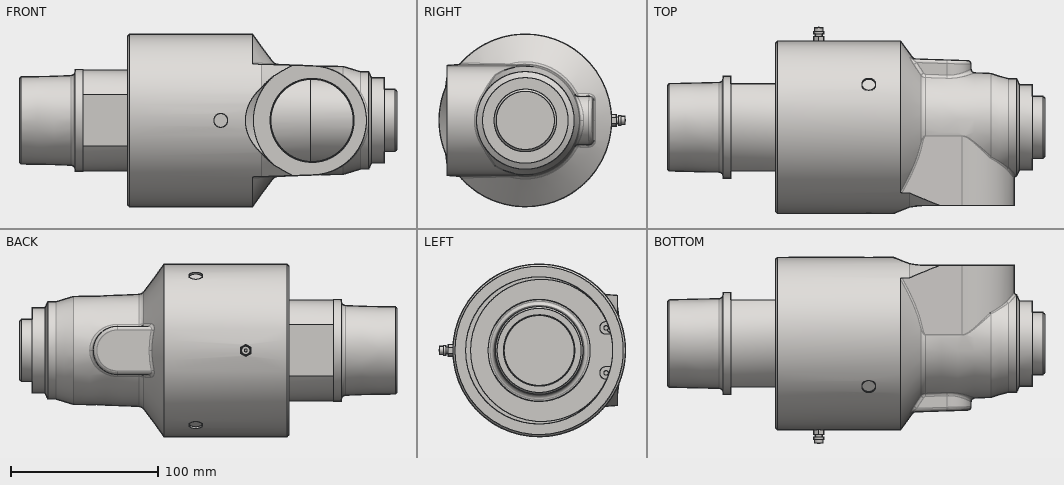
import cadquery as cq
import math


total_length = 256.82
housing_radius = 117.5 / 2
overlap = 1.0
contact_tolerance = 1e-4

taper_end_radius = 29.8
taper_root_radius = 30.6
nose_chamfer = 1.2
taper_length = 35.0
collar_start = 37.8
collar_end = 43.2
collar_radius = 69.5 / 2
shaft_radius = 34.5
flats_end = 74.7
flat_offset = 29.7
rotor_end = 198.0
rotor_bore_radius = 47.6 / 2
rotor_bore_chamfer = 0.5

housing_start = 73.4
housing_chamfer = 1.5
barrel_end = 158.5
neck_start = 173.5
neck_start_radius = 38.3
shoulder_fillet = 4.0
neck_end = 220.0
neck_end_radius = 36.8
neck_slope = (neck_start_radius - neck_end_radius) / (neck_end - neck_start)
neck_angle = math.atan(neck_slope)
tail_cone_end = 231.9
tail_radius = 33.2
tail_end = 237.5
hub_start = 239.4
hub_radius = 29.1
hub_end = 248.1
cap_radius = 21.3
cap_chamfer = 1.5

recess_radius = 100.08 / 2
recess_depth = 7.5
ring_depth = 2.5
ring_thickness = 3.0
ring_inner_radius = 48.35
ring_inner_shift = 1.7
lug_radius = 8.6 / 2
lug_y = -45.5
lug_z = 15.3
lug_hole_radius = 3.12 / 2

port_x = 199.0
port_face_y = -53.3
port_radius = 37.0
port_flare_start = 164.7
port_flare_angle = 17.0
spot_face_radius = 39.9
spot_face_angle = 45.0
port_base_fillet = 1.5
port_bore_radius = 57.2 / 2
port_bore_inner_radius = 56.0 / 2
port_taper_depth = 18.5

pad_top_y = 46.9
pad_center_x = 190.2
pad_half_width = 16.4
pad_edge_fillet = 2.5
pad_base_fillet = 2.5

seat_x = 136.9
seat_radius = 4.7
seat_depth = 1.5
seat_angles = (-90, 30, 150)

nipple_x = 102.9
nipple_hex_flats = 7.0
nipple_hex_top = 61.9
nipple_ring_start = 63.5
nipple_ring_end = 65.2
nipple_head_end = 67.8
nipple_tip = housing_radius + 9.41
nipple_neck_radius = 2.4
nipple_ring_radius = 3.5
nipple_head_radius = 2.9
nipple_tip_radius = 1.0


def x_cylinder(radius, start, end):
    """Cylinder on the main axis."""
    return cq.Workplane("YZ").workplane(offset=start).circle(radius).extrude(end - start)


def y_profile(x_center):
    """Sketch plane for a profile revolved about a Y-parallel axis at x_center."""
    return cq.Workplane("XY", origin=(x_center, 0, 0))


def revolve_about_x(profile):
    return profile.close().revolve(360, (0, 0, 0), (1, 0, 0))


def revolve_about_y(profile):
    return profile.close().revolve(360, (0, 0, 0), (0, 1, 0))


def make_rotor():
    collar_fillet = collar_start - taper_length
    nose = revolve_about_x(
        cq.Workplane("XY")
        .lineTo(0, taper_end_radius - nose_chamfer)
        .lineTo(nose_chamfer, taper_end_radius)
        .lineTo(taper_length, taper_root_radius)
        .radiusArc((collar_start, taper_root_radius + collar_fillet), -collar_fillet)
        .lineTo(collar_start, collar_radius)
        .lineTo(collar_end, collar_radius)
        .lineTo(collar_end, 0)
    )
    flats_length = flats_end - collar_end
    slab = cq.Workplane("XY").box(
        flats_length, 2 * flat_offset, 2 * shaft_radius, centered=(False, True, True)
    )
    shaft = x_cylinder(shaft_radius, collar_end, flats_end).intersect(slab.translate((collar_end, 0, 0)))
    return nose.union(shaft).union(x_cylinder(collar_radius, flats_end, rotor_end))


def make_housing():
    profile = (
        cq.Workplane("XY")
        .moveTo(housing_start, 0)
        .lineTo(housing_start, housing_radius - housing_chamfer)
        .lineTo(housing_start + housing_chamfer, housing_radius)
        .lineTo(barrel_end, housing_radius)
        .lineTo(neck_start, neck_start_radius)
        .lineTo(neck_end, neck_end_radius)
        .lineTo(tail_cone_end, tail_radius)
        .lineTo(tail_end, tail_radius)
        .lineTo(hub_start, hub_radius)
        .lineTo(hub_end, hub_radius)
        .lineTo(hub_end, cap_radius)
        .lineTo(total_length - cap_chamfer, cap_radius)
        .lineTo(total_length, cap_radius - cap_chamfer)
        .lineTo(total_length, 0)
    )
    housing = revolve_about_x(profile)
    shoulder_corner = cq.NearestToPointSelector((neck_start, 0, 0))
    return housing.edges("%CIRCLE").edges(shoulder_corner).fillet(shoulder_fillet)


def make_port_boss():
    """Round-ended boss with flats parallel to the neck wall, trimmed by a flare off the barrel."""
    flat_end = port_x + port_radius * math.sin(neck_angle)
    flat_end_height = port_radius * math.cos(neck_angle)
    flat_start_height = flat_end_height + neck_slope * (flat_end - barrel_end)
    block = (
        cq.Workplane("XZ")
        .moveTo(barrel_end, -flat_start_height)
        .lineTo(flat_end, -flat_end_height)
        .threePointArc((port_x + port_radius, 0), (flat_end, flat_end_height))
        .lineTo(barrel_end, flat_start_height)
        .close()
        .extrude(housing_radius)
    )
    flare_end = port_x + port_radius
    flare_rise = (flare_end - port_flare_start) * math.tan(math.radians(port_flare_angle))
    flare = revolve_about_x(
        cq.Workplane("XY")
        .moveTo(barrel_end, 0)
        .lineTo(barrel_end, housing_radius)
        .lineTo(port_flare_start, housing_radius)
        .lineTo(flare_end, housing_radius + flare_rise)
        .lineTo(flare_end, 0)
    )
    return block.intersect(flare)


def make_spot_face():
    """Conical clearance that leaves the port face flat where it meets the barrel."""
    height = housing_radius - abs(port_face_y) + overlap
    spread = height * math.tan(math.radians(spot_face_angle))
    return revolve_about_y(
        y_profile(port_x)
        .moveTo(0, port_face_y)
        .lineTo(spot_face_radius, port_face_y)
        .lineTo(spot_face_radius + spread, port_face_y - height)
        .lineTo(0, port_face_y - height)
    )


def make_port_bore():
    """Tapered mouth and straight bore that stop on the rotor and on the hub core."""
    taper_end_y = port_face_y + port_taper_depth
    bore = revolve_about_y(
        y_profile(port_x)
        .moveTo(0, port_face_y)
        .lineTo(port_bore_radius, port_face_y)
        .lineTo(port_bore_inner_radius, taper_end_y)
        .lineTo(port_bore_inner_radius, 0)
        .lineTo(0, 0)
    )
    return bore.cut(x_cylinder(collar_radius, barrel_end, rotor_end)).cut(
        x_cylinder(hub_radius, rotor_end, hub_end)
    )


def make_pad():
    """Round-ended pad whose top slopes parallel to the neck wall."""
    pad_end = pad_center_x + pad_half_width
    outline = (
        cq.Workplane("XZ")
        .moveTo(barrel_end, -pad_half_width)
        .lineTo(pad_center_x, -pad_half_width)
        .threePointArc((pad_end, 0), (pad_center_x, pad_half_width))
        .lineTo(barrel_end, pad_half_width)
        .close()
        .extrude(-pad_top_y)
    )
    side_profile = (
        cq.Workplane("XY")
        .moveTo(barrel_end, 0)
        .lineTo(barrel_end, pad_top_y)
        .lineTo(pad_end, pad_top_y - neck_slope * (pad_end - barrel_end))
        .lineTo(pad_end, 0)
        .close()
        .extrude(pad_half_width, both=True)
    )
    return outline.intersect(side_profile).faces(">Y").edges("not <X").fillet(pad_edge_fillet)


def fillet_joint(base, addition, radius):
    """Join a boss to the housing and round the edges lying on the skins of both."""
    joined = base.union(addition)
    skins = [base.val().Shells()[0], addition.val().Shells()[0]]
    corner_edges = []
    for edge in joined.edges().vals():
        middle = cq.Vertex.makeVertex(*edge.positionAt(0.5).toTuple())
        if all(middle.distance(skin) < contact_tolerance for skin in skins):
            corner_edges.append(edge)
    return joined.newObject(corner_edges).fillet(radius)


def make_retaining_ring():
    start = housing_start + ring_depth
    band = x_cylinder(recess_radius, start, start + ring_thickness)
    opening = x_cylinder(ring_inner_radius, start, start + ring_thickness)
    ring = band.cut(opening.translate((0, -ring_inner_shift, 0)))
    for side in (-1, 1):
        lug_plane = cq.Workplane("YZ", origin=(start, 0, side * lug_z))
        lug = lug_plane.center(lug_y, 0).circle(lug_radius).extrude(ring_thickness)
        tab = (
            lug_plane.center(lug_y - lug_radius, 0)
            .rect(2 * lug_radius, 2 * lug_radius)
            .extrude(ring_thickness)
        )
        hole = lug_plane.center(lug_y, 0).circle(lug_hole_radius).extrude(ring_thickness)
        ring = ring.union(lug.union(tab).intersect(band).cut(hole))
    return ring


def make_seat(angle):
    """Shallow seat at an angle measured from +Z, turning toward +Y about the main axis."""
    seat = (
        cq.Workplane("XY", origin=(seat_x, 0, housing_radius - seat_depth))
        .circle(seat_radius)
        .extrude(2 * seat_depth)
    )
    return seat.rotate((0, 0, 0), (1, 0, 0), -angle)


def make_nipple():
    root_y = housing_radius - overlap
    hexagon = (
        cq.Workplane("XZ", origin=(nipple_x, root_y, 0))
        .polygon(6, nipple_hex_flats, circumscribed=True)
        .extrude(root_y - nipple_hex_top)
    )
    stem = revolve_about_y(
        y_profile(nipple_x)
        .moveTo(0, root_y)
        .lineTo(nipple_neck_radius, root_y)
        .lineTo(nipple_neck_radius, nipple_ring_start)
        .lineTo(nipple_ring_radius, nipple_ring_start)
        .lineTo(nipple_ring_radius, nipple_ring_end)
        .lineTo(nipple_head_radius, nipple_ring_end)
        .lineTo(nipple_head_radius, nipple_head_end)
        .lineTo(nipple_tip_radius, nipple_head_end)
        .lineTo(0, nipple_tip)
    )
    return hexagon.union(stem)


housing = make_housing()
housing = fillet_joint(housing, make_pad(), pad_base_fillet)
housing = fillet_joint(housing, make_port_boss(), port_base_fillet)
housing = housing.cut(make_spot_face()).cut(make_port_bore())
housing = housing.cut(x_cylinder(recess_radius, housing_start, housing_start + recess_depth))
housing = housing.union(make_retaining_ring())
for seat_angle in seat_angles:
    housing = housing.cut(make_seat(seat_angle))

rotor_bore = x_cylinder(rotor_bore_radius, 0, rotor_end)
result = housing.union(make_rotor()).union(make_nipple()).cut(rotor_bore)
bore_edge = cq.selectors.RadiusNthSelector(0)
result = result.faces("<X").edges(bore_edge).chamfer(rotor_bore_chamfer)